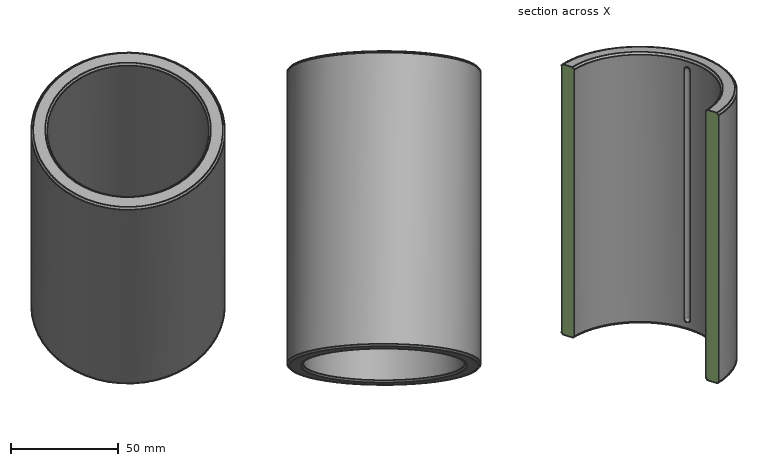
import cadquery as cq

length = 140.0
outer_diameter = 90.0
bore_diameter = 75.0
edge_chamfer = 1.0

groove_radius = 1.7
groove_end_margin = 4.0


def make_sleeve():
    """Straight sleeve standing on the XY plane, with every rim edge chamfered."""
    tube = (
        cq.Workplane("XY")
        .circle(outer_diameter / 2)
        .circle(bore_diameter / 2)
        .extrude(length)
    )
    return tube.faces("<Z or >Z").edges().chamfer(edge_chamfer)


def make_groove_cutter():
    """Ball-ended bar along Z, centred on the bore surface at +X and stopping short of both ends."""
    axis_x = bore_diameter / 2
    lower_ball_z = groove_end_margin + groove_radius
    upper_ball_z = length - lower_ball_z
    bar = (
        cq.Workplane("XY", origin=(axis_x, 0, lower_ball_z))
        .circle(groove_radius)
        .extrude(upper_ball_z - lower_ball_z)
    )
    for ball_z in (lower_ball_z, upper_ball_z):
        ball = cq.Workplane("XY", origin=(axis_x, 0, ball_z)).sphere(groove_radius)
        bar = bar.union(ball)
    return bar


result = make_sleeve().cut(make_groove_cutter())